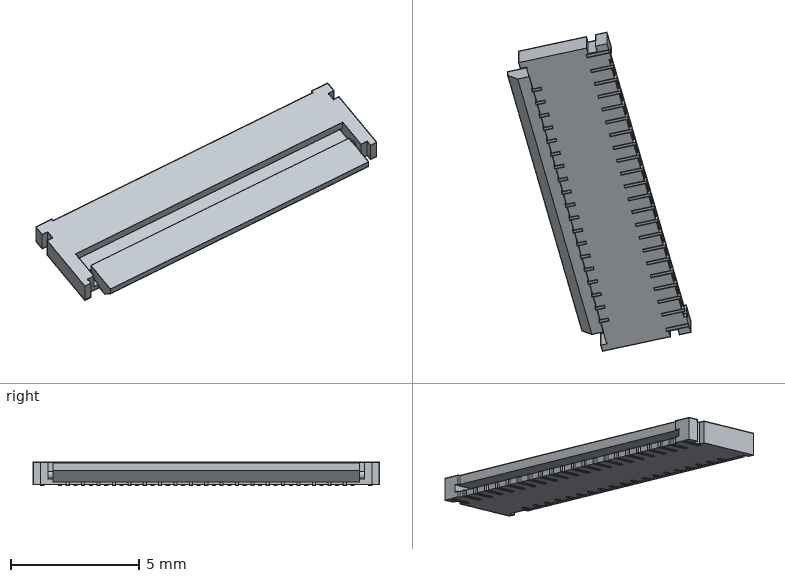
import cadquery as cq


length = 13.5
housing_height = 0.88
arm_end_x = 3.55
deck_end_x = 3.31
arm_tip_width = 0.28
front_recess_depth = 0.1
front_recess_length = 12.02
side_notch_x = 0.46
side_notch_width = 0.36
side_notch_depth = 0.25

slot_floor = 0.23
slot_height = 0.28
slot_top = slot_floor + slot_height
slot_length = 12.35
roof_end_x = 1.98

bar_start_x = 2.65
bar_radius = 0.15

lever_length = 11.95
lever_start_x = 2.77
lever_end_x = 4.18
lever_top = 0.84
lever_bottom = 0.11
lever_tip_bottom = 0.55
lever_bevel_x = 3.78

contact_count = 20
contact_row_length = 11.4
contact_pitch = contact_row_length / (contact_count - 1)
contact_width = 0.12
contact_top = 0.22
foot_drop = 0.03
front_foot_length = 0.9
rear_foot_x = 2.97
rear_foot_length = 0.38
anchor_foot_width = 0.14
anchor_foot_inset = 0.35


def block(x_start, x_end, y_centre, y_width, z_bottom, z_top):
    """Box given by its X and Z limits and its centre and width along Y."""
    return (
        cq.Workplane("XY")
        .box(x_end - x_start, y_width, z_top - z_bottom, centered=(False, True, False))
        .translate((x_start, y_centre, z_bottom))
    )


def extrude_along_y(profile, width):
    """Extrude an XZ profile by the given width, centred on Y = 0."""
    return profile.extrude(width / 2, both=True)


def make_housing():
    housing = block(0, arm_end_x, 0, length, 0, housing_height)
    housing = housing.cut(block(0, front_recess_depth, 0, front_recess_length, 0, housing_height))
    gap_between_arms = length - 2 * arm_tip_width
    housing = housing.cut(block(deck_end_x, arm_end_x, 0, gap_between_arms, 0, housing_height))
    for side in (-1, 1):
        notch_y = side * (length - side_notch_depth) / 2
        notch_end_x = side_notch_x + side_notch_width
        housing = housing.cut(
            block(side_notch_x, notch_end_x, notch_y, side_notch_depth, 0, housing_height)
        )
    housing = housing.cut(block(0, deck_end_x, 0, slot_length, slot_floor, slot_top))
    return housing.cut(block(roof_end_x, deck_end_x, 0, slot_length, slot_top, housing_height))


def make_hinge_bar():
    """Round bar across the back of the slot, sunk slightly into the floor."""
    bar_axis_x = bar_start_x + bar_radius
    bar_axis_z = slot_top - bar_radius
    profile = cq.Workplane("XZ").center(bar_axis_x, bar_axis_z).circle(bar_radius)
    return extrude_along_y(profile, slot_length)


def make_lever():
    """Lever resting on the slot floor, with a bevelled lip behind the housing deck."""
    profile = cq.Workplane("XZ").polyline([
        (lever_start_x, lever_top),
        (lever_end_x, lever_top),
        (lever_end_x, lever_tip_bottom),
        (lever_bevel_x, lever_bottom),
        (deck_end_x, lever_bottom),
        (deck_end_x, slot_floor),
        (lever_start_x, slot_floor),
    ]).close()
    return extrude_along_y(profile, lever_length)


def make_contacts():
    """Front contacts with tails, and a staggered row of rear feet between them."""
    first_y = -contact_row_length / 2
    contacts = []
    for index in range(contact_count):
        y = first_y + index * contact_pitch
        contacts.append(block(0, front_foot_length, y, contact_width, -foot_drop, contact_top))
    rear_foot_end_x = rear_foot_x + rear_foot_length
    for index in range(contact_count - 1):
        y = first_y + (index + 0.5) * contact_pitch
        contacts.append(block(rear_foot_x, rear_foot_end_x, y, contact_width, -foot_drop, slot_floor))
    return contacts


def make_anchor_feet():
    """One solder foot under each end of the housing."""
    feet = []
    for side in (-1, 1):
        y = side * (length / 2 - anchor_foot_inset)
        feet.append(block(0, front_foot_length, y, anchor_foot_width, -foot_drop, slot_floor))
    return feet


result = make_housing().union(make_hinge_bar()).union(make_lever())
for metal_part in make_contacts() + make_anchor_feet():
    result = result.union(metal_part)